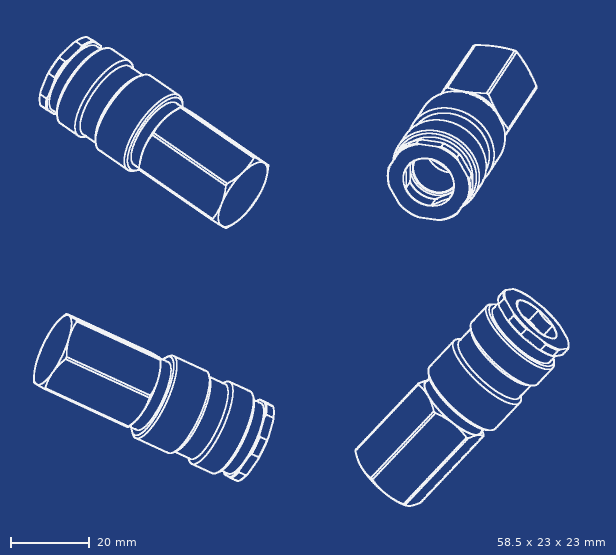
import cadquery as cq
import math

length = 58.5
head_length = 2.5
sleeve_start = 5.85
sleeve_end = 29.35
hex_start = 32.45

head_diameter = 22.0
collar_diameter = 19.8
sleeve_diameter = 23.0
groove_diameter = 21.0
neck_diameter = 19.0

sleeve_chamfer = 0.6
groove_start = 12.4
groove_end = 19.25
groove_depth = (sleeve_diameter - groove_diameter) / 2
groove_slope_length = 0.9

head_across_flats = 21.0
head_chamfer = 0.25

hex_across_flats = 19.3
hex_corner_diameter = 21.95
hex_chamfer_length = 0.75

socket_diameter = 13.5
socket_depth = 6.1
throat_diameter = 13.35
seat_diameter = 12.3
seat_depth = 6.3
bore_diameter = 12.0
bore_depth = 17.55
lug_flat_distance = 6.1
lug_count = 3
lug_end = 3.85
lug_lead_length = 0.4


def cylinder(diameter, start, end):
    """Solid cylinder along X between two axial positions."""
    return cq.Workplane("YZ", origin=(start, 0, 0)).circle(diameter / 2).extrude(end - start)


def hexagon(across_flats, start, end):
    """Hexagonal prism along X with horizontal top and bottom flats."""
    corner_diameter = across_flats / math.cos(math.pi / 6)
    return cq.Workplane("YZ", origin=(start, 0, 0)).polygon(6, corner_diameter).extrude(end - start)


def revolve_profile(points):
    """Revolve a closed (x, radius) profile around the X axis."""
    return cq.Workplane("XY").polyline(points).close().revolve(360, (0, 0, 0), (1, 0, 0))


def make_head():
    disc = cylinder(head_diameter, 0, head_length).edges().chamfer(head_chamfer)
    return disc.intersect(hexagon(head_across_flats, 0, head_length))


def make_sleeve():
    sleeve = cylinder(sleeve_diameter, sleeve_start, sleeve_end).edges().chamfer(sleeve_chamfer)
    outer = sleeve_diameter / 2
    floor = outer - groove_depth
    groove = revolve_profile([
        (groove_start - groove_slope_length, outer + groove_depth),
        (groove_start + groove_slope_length, floor),
        (groove_end - groove_slope_length, floor),
        (groove_end + groove_slope_length, outer + groove_depth),
    ])
    return sleeve.cut(groove)


def make_hex_body():
    corner_radius = hex_corner_diameter / 2
    end_radius = hex_across_flats / 2
    envelope = revolve_profile([
        (hex_start, 0),
        (hex_start, end_radius),
        (hex_start + hex_chamfer_length, corner_radius),
        (length - hex_chamfer_length, corner_radius),
        (length, end_radius),
        (length, 0),
    ])
    return hexagon(hex_across_flats, hex_start, length).intersect(envelope)


def make_throat():
    """Narrow throat with flat-faced lugs at the socket mouth, behind a conical lead-in."""
    socket_radius = socket_diameter / 2
    ring = cylinder(socket_diameter, 0, lug_end)
    lead_in = revolve_profile([
        (0, 0),
        (0, socket_radius),
        (lug_lead_length, lug_flat_distance),
        (lug_lead_length, 0),
    ])
    throat = ring.cut(cylinder(throat_diameter, 0, lug_end))
    for index in range(lug_count):
        side = cq.Workplane("XY").box(
            lug_end, socket_radius, socket_diameter, centered=(False, False, True)
        ).translate((0, lug_flat_distance, 0))
        side = side.rotate((0, 0, 0), (1, 0, 0), index * 360 / lug_count)
        throat = throat.union(ring.intersect(side))
    return throat.cut(lead_in)


socket = cylinder(socket_diameter, 0, socket_depth).cut(make_throat())
socket = socket.union(cylinder(seat_diameter, socket_depth, seat_depth))
socket = socket.union(cylinder(bore_diameter, seat_depth, bore_depth))

result = (
    make_head()
    .union(cylinder(collar_diameter, head_length, sleeve_start))
    .union(make_sleeve())
    .union(cylinder(neck_diameter, sleeve_end, hex_start))
    .union(make_hex_body())
    .cut(socket)
)